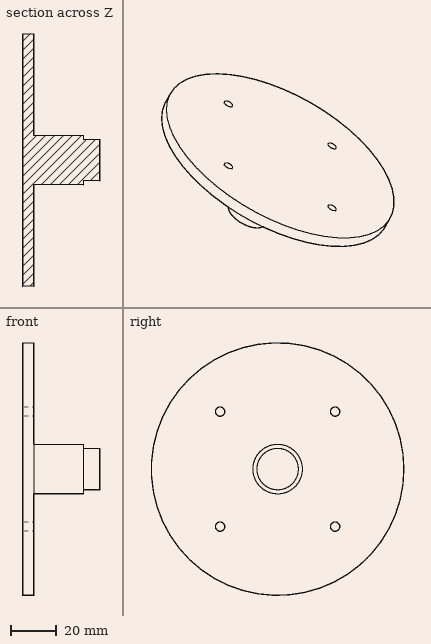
import cadquery as cq

disc_diameter = 110.0
disc_thickness = 5.0
boss_diameter = 21.6
boss_length = 21.7
spigot_diameter = 18.0
total_length = 33.7
hole_diameter = 4.0
hole_spacing = 50.0

spigot_length = total_length - disc_thickness - boss_length

disc = cq.Workplane("YZ").circle(disc_diameter / 2).extrude(disc_thickness)

stepped = (
    disc.faces(">X").workplane()
    .circle(boss_diameter / 2).extrude(boss_length)
    .faces(">X").workplane()
    .circle(spigot_diameter / 2).extrude(spigot_length)
)

holes = (
    cq.Workplane("YZ")
    .rect(hole_spacing, hole_spacing, forConstruction=True)
    .vertices()
    .circle(hole_diameter / 2)
    .extrude(disc_thickness)
)

result = stepped.cut(holes)